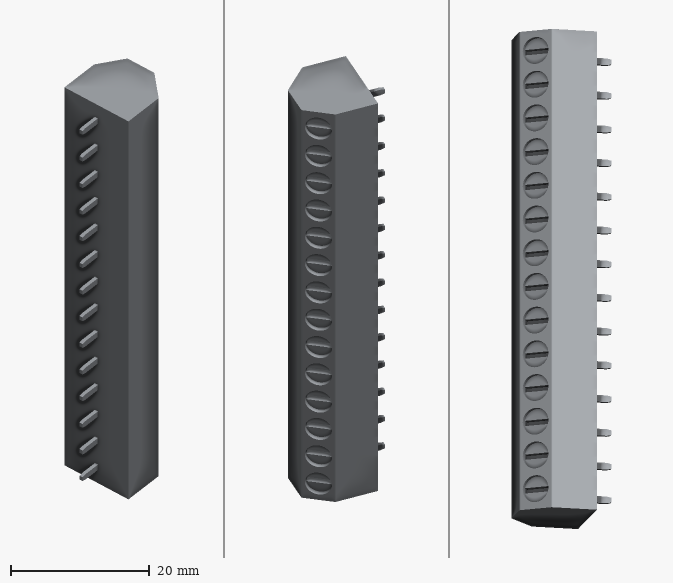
import cadquery as cq

length = 71.0
width = 12.0
total_depth = 14.3
pin_length = 3.5
housing_depth = total_depth - pin_length
screw_bevel_width = 2.85
screw_bevel_depth = 4.1
plain_bevel_width = 4.1
plain_bevel_depth = 4.0
bevel_edge_radius = 0.35

pole_count = 14
end_margin = 3.0
pitch = (length - 2 * end_margin) / (pole_count - 1)

screw_diameter = 4.0
screw_recess = 0.7
slot_width = 0.8
slot_depth = 1.0

pin_thickness = 0.6
pin_height = 1.0
tip_length = 0.65
tip_height = 0.7

half_width = width / 2
pole_heights = [end_margin - length / 2 + i * pitch for i in range(pole_count)]


def make_housing():
    front_corners = [(-half_width, 0), (half_width, 0)]
    bevel_corners = [
        (half_width, housing_depth - plain_bevel_depth),
        (half_width - plain_bevel_width, housing_depth),
        (-half_width + screw_bevel_width, housing_depth),
        (-half_width, housing_depth - screw_bevel_depth),
    ]
    outline = cq.Workplane("XY").polyline(front_corners + bevel_corners).close()
    housing = outline.extrude(length / 2, both=True)
    for x, y in bevel_corners:
        bevel_edge = housing.edges(cq.NearestToPointSelector((x, y, 0)))
        housing = bevel_edge.fillet(bevel_edge_radius)
    return housing


def make_screw_recess(z):
    """Round recess with a full-width slot in its floor, square to the -X bevel."""
    bevel_center = (-half_width + screw_bevel_width / 2, housing_depth - screw_bevel_depth / 2, z)
    bevel_plane = cq.Plane(
        origin=bevel_center,
        xDir=(screw_bevel_width, screw_bevel_depth, 0),
        normal=(-screw_bevel_depth, screw_bevel_width, 0),
    )
    recess = cq.Workplane(bevel_plane).circle(screw_diameter / 2).extrude(-screw_recess)
    total_slot_depth = screw_recess + slot_depth
    slot_bar = cq.Workplane(bevel_plane).rect(screw_diameter, slot_width).extrude(-total_slot_depth)
    screw_body = cq.Workplane(bevel_plane).circle(screw_diameter / 2).extrude(-total_slot_depth)
    return recess.union(slot_bar.intersect(screw_body))


def make_pin(z):
    """Pin pointing toward -Y, its top and bottom tapering at the tip."""
    shoulder = tip_length - pin_length
    outline = [
        (0, z - pin_height / 2),
        (shoulder, z - pin_height / 2),
        (-pin_length, z - tip_height / 2),
        (-pin_length, z + tip_height / 2),
        (shoulder, z + pin_height / 2),
        (0, z + pin_height / 2),
    ]
    return cq.Workplane("YZ").polyline(outline).close().extrude(pin_thickness / 2, both=True)


result = make_housing()
for pole_z in pole_heights:
    result = result.cut(make_screw_recess(pole_z))
    result = result.union(make_pin(pole_z))